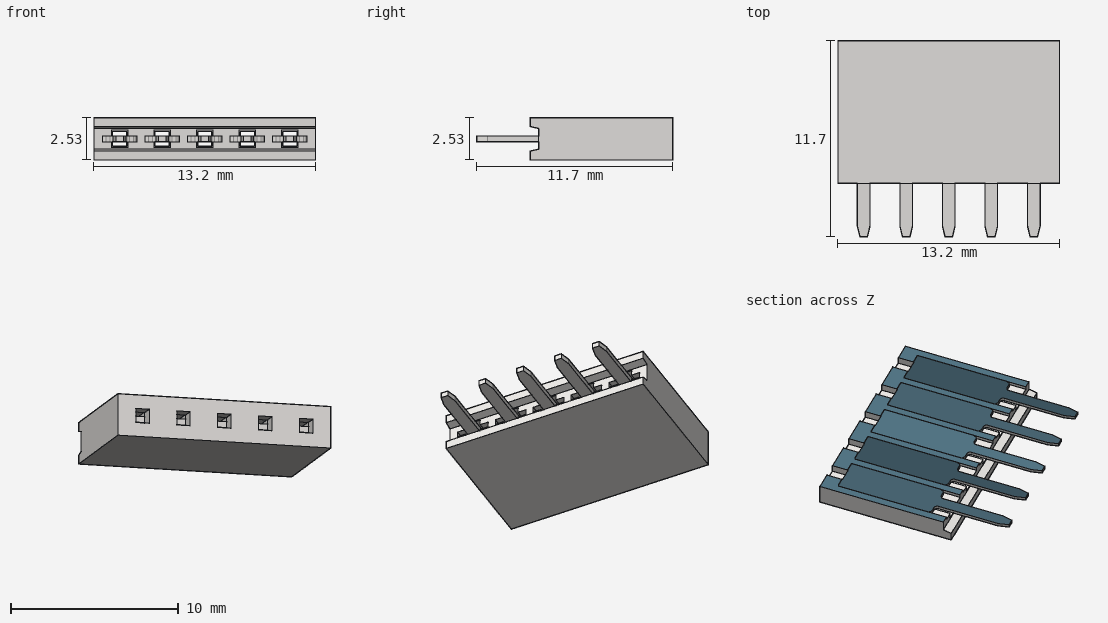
import cadquery as cq

HOUSING_WIDTH = 13.2
HOUSING_HEIGHT = 2.53
HOUSING_LENGTH = 8.5
TOTAL_LENGTH = 11.7

CONTACT_COUNT = 5
CONTACT_PITCH = 2.53

TROUGH_DEPTH = 0.5
TROUGH_FLOOR_HEIGHT = 1.21
TROUGH_MOUTH_HEIGHT = 1.45

CONTACT_THICKNESS = 0.35
PIN_WIDTH = 0.77
PIN_TIP_WIDTH = 0.45
PIN_TAPER_LENGTH = 0.65
PLATE_WIDTH = 2.05
SHOULDER_RADIUS = 0.2

CAVITY_WIDTH = 0.99
CAVITY_HEIGHT = 1.05
MATING_HOLE_WIDTH = 0.83
MATING_HOLE_HEIGHT = 0.86
MATING_WALL = 1.0
SHOULDER_RECESS = 1.0

PIN_TIP_Y = 0.0
SOLDER_FACE_Y = TOTAL_LENGTH - HOUSING_LENGTH
TROUGH_FLOOR_Y = SOLDER_FACE_Y + TROUGH_DEPTH
SHOULDER_Y = TROUGH_FLOOR_Y + SHOULDER_RECESS
CAVITY_END_Y = TOTAL_LENGTH - MATING_WALL
MATING_FACE_Y = TOTAL_LENGTH

CONTACT_XS = [(i - (CONTACT_COUNT - 1) / 2) * CONTACT_PITCH for i in range(CONTACT_COUNT)]


def block(x, width, height, y_start, y_end):
    """Box centred on x and on Z = 0, running from y_start to y_end."""
    length = y_end - y_start
    return cq.Workplane("XY").box(width, length, height).translate((x, y_start + length / 2, 0))


def make_trough():
    """Trapezoidal channel along the full width of the solder side."""
    return (
        cq.Workplane("YZ")
        .polyline([
            (SOLDER_FACE_Y, -TROUGH_MOUTH_HEIGHT / 2),
            (TROUGH_FLOOR_Y, -TROUGH_FLOOR_HEIGHT / 2),
            (TROUGH_FLOOR_Y, TROUGH_FLOOR_HEIGHT / 2),
            (SOLDER_FACE_Y, TROUGH_MOUTH_HEIGHT / 2),
        ])
        .close()
        .extrude(HOUSING_WIDTH / 2, both=True)
    )


def make_passage(x):
    """Stepped through hole for one contact, crossed by the flat slot that holds its plate."""
    cavity = block(x, CAVITY_WIDTH, CAVITY_HEIGHT, TROUGH_FLOOR_Y, CAVITY_END_Y)
    mating_hole = block(x, MATING_HOLE_WIDTH, MATING_HOLE_HEIGHT, CAVITY_END_Y, MATING_FACE_Y)
    plate_slot = block(x, PLATE_WIDTH, CONTACT_THICKNESS, TROUGH_FLOOR_Y, CAVITY_END_Y)
    return cavity.union(mating_hole).union(plate_slot)


def make_housing():
    housing = block(0, HOUSING_WIDTH, HOUSING_HEIGHT, SOLDER_FACE_Y, MATING_FACE_Y)
    housing = housing.cut(make_trough())
    for x in CONTACT_XS:
        housing = housing.cut(make_passage(x))
    return housing


def make_contact(x):
    """Flat contact: its plate fills the housing slot and its pin ends in a tapered tip."""
    plate = (
        block(x, PLATE_WIDTH, CONTACT_THICKNESS, SHOULDER_Y, CAVITY_END_Y)
        .edges("|Z and <Y")
        .fillet(SHOULDER_RADIUS)
    )
    taper_y = PIN_TIP_Y + PIN_TAPER_LENGTH
    pin = (
        cq.Workplane("XY")
        .polyline([
            (x - PIN_TIP_WIDTH / 2, PIN_TIP_Y),
            (x + PIN_TIP_WIDTH / 2, PIN_TIP_Y),
            (x + PIN_WIDTH / 2, taper_y),
            (x + PIN_WIDTH / 2, SHOULDER_Y),
            (x - PIN_WIDTH / 2, SHOULDER_Y),
            (x - PIN_WIDTH / 2, taper_y),
        ])
        .close()
        .extrude(CONTACT_THICKNESS / 2, both=True)
    )
    contact = plate.union(pin)
    root_corners = cq.selectors.BoxSelector(
        (x - PIN_WIDTH, SHOULDER_Y - SHOULDER_RADIUS / 2, -CONTACT_THICKNESS),
        (x + PIN_WIDTH, SHOULDER_Y + SHOULDER_RADIUS / 2, CONTACT_THICKNESS),
    )
    return contact.edges("|Z").edges(root_corners).fillet(SHOULDER_RADIUS)


housing = make_housing()
contacts = [make_contact(x) for x in CONTACT_XS]

result = cq.Compound.makeCompound([housing.val(), *[contact.val() for contact in contacts]])